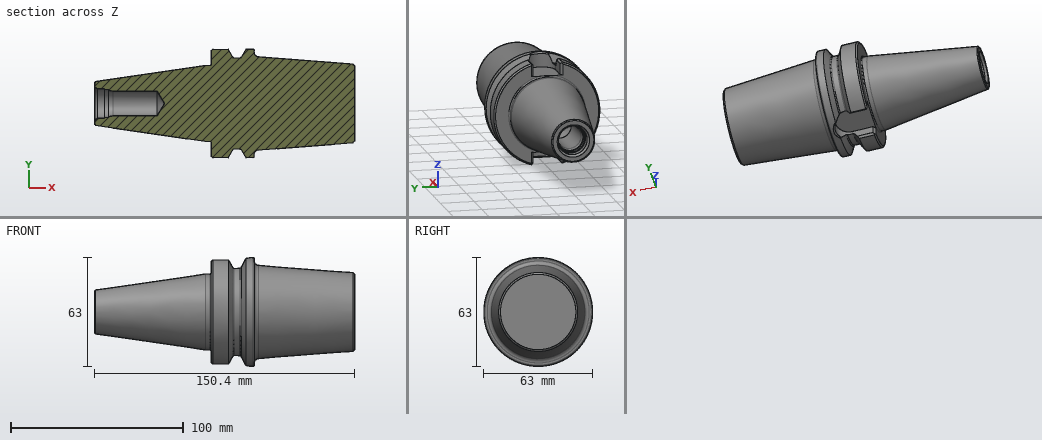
import cadquery as cq
import math

total_length = 150.4
gauge_x = 65.4
collar_face_x = 67.4
flange_end_x = 92.3
body_start_x = 94.8

gauge_radius = 22.3
taper_slope = 7 / 48
shank_tip_radius = gauge_radius - gauge_x * taper_slope
shank_chamfer = 0.6
neck_start_x = 64.0
neck_radius = gauge_radius - (gauge_x - neck_start_x) * taper_slope
neck_fillet = 0.8

flange_radius = 63.0 / 2
groove_radius = 26.5
groove_floor_start_x = 80.2
groove_floor_end_x = 84.5
groove_wall_angle = 30.0
groove_fillet = 0.9
groove_wall_run = (flange_radius - groove_radius) * math.tan(math.radians(groove_wall_angle))
flange_chamfer = 0.9
rim_round = 0.8

body_start_radius = 27.0
body_end_radius = 22.9
body_chamfer = 1.0
body_fillet = body_start_x - flange_end_x

slot_half_width = 16.1 / 2
slot_floor_z = 22.5
slot_center_x = 81.0
slot_edge_chamfer = 1.4
slot_chamfer_start_z = 29.0
slot_rim_chamfer = 0.98
slot_top_z = flange_radius + 1.5

mouth_radius = 9.6
pilot_radius = 17.0 / 2
mouth_depth = 1.5
pilot_depth = 5.5
relief_radius = 8.0
relief_depth = 8.1
seat_radius = 7.5
seat_end_depth = 10.7
drill_radius = 7.0
drill_depth = 36.1
drill_point_half_angle = 59.0


def make_turned_body():
    """Revolve the outer profile about the X axis."""
    wall_angle = math.radians(groove_wall_angle)
    fillet_reach = groove_fillet * math.tan((math.pi / 2 - wall_angle) / 2)
    wall_trim_x = fillet_reach * math.sin(wall_angle)
    wall_trim_r = fillet_reach * math.cos(wall_angle)

    profile = (
        cq.Workplane("XY")
        .moveTo(0, 0)
        .lineTo(0, shank_tip_radius - shank_chamfer)
        .lineTo(shank_chamfer, shank_tip_radius + shank_chamfer * taper_slope)
        .lineTo(neck_start_x, neck_radius)
        .lineTo(collar_face_x - neck_fillet, neck_radius)
        .radiusArc((collar_face_x, neck_radius + neck_fillet), -neck_fillet)
        .lineTo(collar_face_x, flange_radius - flange_chamfer)
        .lineTo(collar_face_x + flange_chamfer, flange_radius)
        .lineTo(groove_floor_start_x - groove_wall_run, flange_radius)
        .lineTo(groove_floor_start_x - wall_trim_x, groove_radius + wall_trim_r)
        .radiusArc((groove_floor_start_x + fillet_reach, groove_radius), -groove_fillet)
        .lineTo(groove_floor_end_x - fillet_reach, groove_radius)
        .radiusArc((groove_floor_end_x + wall_trim_x, groove_radius + wall_trim_r), -groove_fillet)
        .lineTo(groove_floor_end_x + groove_wall_run, flange_radius)
        .lineTo(flange_end_x - rim_round, flange_radius)
        .radiusArc((flange_end_x, flange_radius - rim_round), rim_round)
        .lineTo(flange_end_x, body_start_radius + body_fillet)
        .radiusArc((body_start_x, body_start_radius), -body_fillet)
        .lineTo(total_length - body_chamfer, body_end_radius)
        .lineTo(total_length, body_end_radius - body_chamfer)
        .lineTo(total_length, 0)
        .close()
    )
    return profile.revolve(360, (0, 0, 0), (1, 0, 0))


def make_bore():
    """Stepped blind hole with a countersunk mouth and a drill point."""
    point_length = drill_radius / math.tan(math.radians(drill_point_half_angle))
    profile = cq.Workplane("XY").polyline([
        (0, 0),
        (0, mouth_radius),
        (mouth_depth, pilot_radius),
        (pilot_depth, pilot_radius),
        (pilot_depth, relief_radius),
        (relief_depth, relief_radius),
        (relief_depth, seat_radius),
        (seat_end_depth, drill_radius),
        (drill_depth, drill_radius),
        (drill_depth + point_length, 0),
    ]).close()
    return profile.revolve(360, (0, 0, 0), (1, 0, 0))


def make_drive_slot():
    """Round-ended slot on the +Z side with its chamfered edges."""
    channel = (
        cq.Workplane("XY", origin=(0, 0, slot_floor_z))
        .moveTo(collar_face_x, -slot_half_width)
        .lineTo(slot_center_x, -slot_half_width)
        .threePointArc(
            (slot_center_x + slot_half_width, 0),
            (slot_center_x, slot_half_width),
        )
        .lineTo(collar_face_x, slot_half_width)
        .close()
        .extrude(slot_top_z - slot_floor_z)
    )

    mouth_half_width = slot_half_width + slot_edge_chamfer
    mouth = (
        cq.Workplane("XY", origin=(0, 0, slot_floor_z))
        .polyline([
            (collar_face_x, -mouth_half_width),
            (collar_face_x + slot_edge_chamfer, -slot_half_width),
            (collar_face_x + slot_edge_chamfer, slot_half_width),
            (collar_face_x, mouth_half_width),
        ])
        .close()
        .extrude(slot_top_z - slot_floor_z)
    )

    flare_height = slot_top_z - slot_chamfer_start_z
    flare = (
        cq.Workplane("YZ", origin=(collar_face_x, 0, 0))
        .polyline([
            (-slot_half_width, slot_chamfer_start_z),
            (slot_half_width, slot_chamfer_start_z),
            (slot_half_width + flare_height, slot_top_z),
            (-slot_half_width - flare_height, slot_top_z),
        ])
        .close()
        .extrude(groove_floor_start_x - collar_face_x)
    )

    rim_start_z = flange_radius - slot_rim_chamfer
    rim_height = slot_top_z - rim_start_z
    rim = cq.Workplane(
        cq.Solid.makeCone(
            slot_half_width,
            slot_half_width + rim_height,
            rim_height,
            pnt=cq.Vector(slot_center_x, 0, rim_start_z),
        )
    )
    return channel.union(mouth).union(flare).union(rim)


drive_slot = make_drive_slot()
result = make_turned_body().cut(make_bore())
for slot_angle in (0, 180):
    result = result.cut(drive_slot.rotate((0, 0, 0), (1, 0, 0), slot_angle))